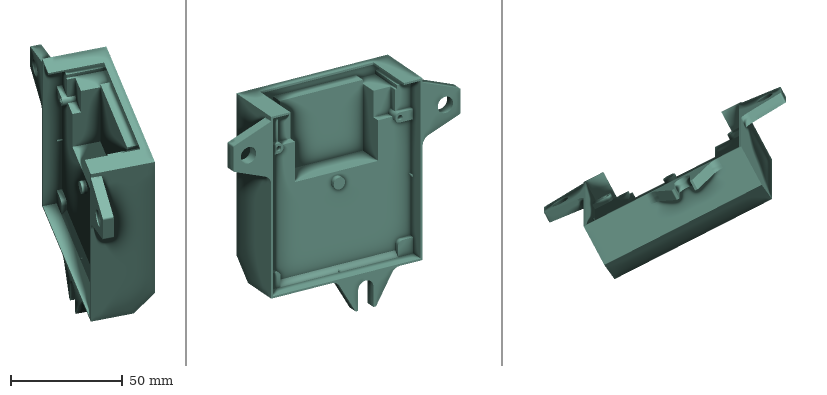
import cadquery as cq
import math


overall_width = 120.0
box_width = 79.9
box_depth = 30.0
box_height = 90.0
outer_chamfer = 10.0
wall = 1.0

floor_y = 9.0
floor_step = 2.5
raised_y = floor_y - floor_step
inner_width = box_width - 2 * wall
inner_half = inner_width / 2

slot_width = 60.0
slot_depth = 26.0
channel_depth = 28.0
ledge_drop = 5.0
channel_drop = 7.0
rail_x = 32.0

recess_half = 31.0
recess_depth = 13.0
recess_drop = 20.0
pocket_width = 43.8
pocket_depth = 22.1
pocket_drop = 40.1

boss_radius = 2.5
boss_hole_diameter = 2.5
pad_height = 9.0
pad_radius = 2.5
pin_diameter = 6.0
peg_diameter = 1.0
peg_offset = 0.42
peg_z = 39.5

flange_thickness = 5.0
flange_fillet = 5.0
ear_corner_radius = 1.0
ear_drop = 16.1
ear_root_half = 13.9
ear_tip_half = 6.2
ear_hole_x = 52.0
ear_hole_diameter = 8.0
foot_x = 10.0
foot_length = 17.0
foot_root_half = 15.2
foot_half_angle = 30.0
foot_tip_radius = 0.6
foot_slot_width = 8.0
foot_slot_center_z = -7.0


def block(x0, x1, y0, y1, z0, z1):
    """Rectangular block between two opposite corners."""
    return cq.Workplane("XY").box(x1 - x0, y1 - y0, z1 - z0, centered=False).translate((x0, y0, z0))


def front_rod(x, z, diameter, y0, y1):
    """Round rod along Y, from depth y0 to depth y1."""
    return cq.Workplane("XZ", origin=(x, y0, z)).circle(diameter / 2).extrude(y0 - y1)


def front_plate(points, y0, y1):
    """Plate with the given XZ outline, from depth y0 to depth y1."""
    return cq.Workplane("XZ", origin=(0, y0, 0)).polyline(points).close().extrude(y0 - y1)


def mirrored(solid):
    """The solid together with its mirror image across the YZ plane."""
    return solid.union(solid.mirror("YZ"))


def round_edges_near(plate, corners, radius):
    """Round the Y-direction edges that stand at the given (x, z) corners."""
    reach = 0.1
    for x, z in corners:
        near_corner = cq.selectors.BoxSelector(
            (x - reach, -box_depth, z - reach),
            (x + reach, box_depth, z + reach),
        )
        plate = plate.edges("|Y").edges(near_corner).fillet(radius)
    return plate


def make_box():
    """Solid outer box with its lower rear edge cut off at 45 degrees."""
    box = block(-box_width / 2, box_width / 2, 0, box_depth, 0, box_height)
    return box.faces("<Z").edges(">Y").chamfer(outer_chamfer)


def make_ears():
    """Pair of tapered mounting ears with a round hole, blended into the side walls below."""
    ear_z = box_height - ear_drop
    root_x = box_width / 2
    tip_x = overall_width / 2
    inside_x = root_x - wall
    low_root_z = ear_z - ear_root_half
    low_end_z = low_root_z - flange_fillet
    ear = front_plate(
        [
            (inside_x, ear_z + ear_root_half),
            (root_x, ear_z + ear_root_half),
            (tip_x, ear_z + ear_tip_half),
            (tip_x, ear_z - ear_tip_half),
            (root_x, low_root_z),
            (root_x, low_end_z),
            (inside_x, low_end_z),
        ],
        0,
        flange_thickness,
    )
    tips = [(tip_x, ear_z + ear_tip_half), (tip_x, ear_z - ear_tip_half)]
    ear = round_edges_near(ear, tips, ear_corner_radius)
    ear = round_edges_near(ear, [(root_x, low_root_z)], flange_fillet)
    return mirrored(ear.cut(front_rod(ear_hole_x, ear_z, ear_hole_diameter, 0, flange_thickness)))


def make_foot():
    """Forked foot under the box, with an open slot rounded at its upper end."""
    tip_half = foot_root_half - foot_length * math.tan(math.radians(foot_half_angle))
    end_half = foot_root_half + flange_fillet
    foot = front_plate(
        [
            (foot_x - end_half, wall),
            (foot_x - end_half, 0),
            (foot_x - foot_root_half, 0),
            (foot_x - tip_half, -foot_length),
            (foot_x + tip_half, -foot_length),
            (foot_x + foot_root_half, 0),
            (foot_x + end_half, 0),
            (foot_x + end_half, wall),
        ],
        0,
        flange_thickness,
    )
    slot_half = foot_slot_width / 2
    foot = foot.cut(front_rod(foot_x, foot_slot_center_z, foot_slot_width, 0, flange_thickness))
    foot = foot.cut(block(foot_x - slot_half, foot_x + slot_half, 0, flange_thickness,
                          -foot_length, foot_slot_center_z))
    for side in (-1, 1):
        foot = round_edges_near(foot, [(foot_x + side * foot_root_half, 0)], flange_fillet)
        foot = round_edges_near(foot, [(foot_x + side * tip_half, -foot_length)], foot_tip_radius)
    return foot


def make_cavity():
    """Everything hollow in the box: main cavity, top slot and channel, recess and pocket."""
    inner_top = box_height - wall
    cavity = block(-inner_half, inner_half, 0, floor_y, wall, inner_top)
    cavity = cavity.faces("<Z").edges(">Y").chamfer(floor_step)
    slot = block(-slot_width / 2, slot_width / 2, 0, slot_depth, inner_top, box_height)
    channel = block(-rail_x, rail_x, 0, channel_depth, box_height - channel_drop, inner_top)
    ledges = block(-inner_half, inner_half, 0, channel_depth, box_height - ledge_drop, inner_top)
    recess = block(-recess_half, recess_half, 0, recess_depth, box_height - recess_drop, inner_top)
    pocket_half = pocket_width / 2
    back_plate = block(-pocket_half, pocket_half, pocket_depth, channel_depth,
                       box_height - channel_drop, box_height - ledge_drop)
    pocket = block(-pocket_half, pocket_half, 0, pocket_depth, box_height - pocket_drop, inner_top)
    for space in (slot, channel.cut(back_plate), ledges, recess, pocket):
        cavity = cavity.union(space)
    return cavity


def make_bosses():
    """Pair of hollow screw bosses, each joined to a side wall by a flat arm."""
    z = box_height - recess_drop
    arm = block(rail_x, inner_half, raised_y, floor_y, z - boss_radius, z + boss_radius)
    boss = arm.union(front_rod(rail_x, z, 2 * boss_radius, raised_y, recess_depth))
    return mirrored(boss.cut(front_rod(rail_x, z, boss_hole_diameter, raised_y, recess_depth)))


def make_pads():
    """Pair of raised pads in the lower corners of the cavity."""
    pad = block(recess_half, inner_half, raised_y, floor_y, wall, pad_height)
    pad = round_edges_near(pad, [(recess_half, pad_height)], pad_radius)
    return mirrored(pad)


def make_pegs():
    """Thin rods lying along the side walls and the bottom wall, partly sunk into them."""
    side_peg = front_rod(inner_half - peg_offset, peg_z, peg_diameter, raised_y, floor_y)
    bottom_peg = front_rod(0, wall + peg_offset, peg_diameter, raised_y, floor_y)
    return mirrored(side_peg).union(bottom_peg)


center_pin = front_rod(0, box_height / 2, pin_diameter, raised_y, floor_y)

result = make_box().union(make_ears()).union(make_foot()).cut(make_cavity())
for feature in (make_bosses(), make_pads(), make_pegs(), center_pin):
    result = result.union(feature)